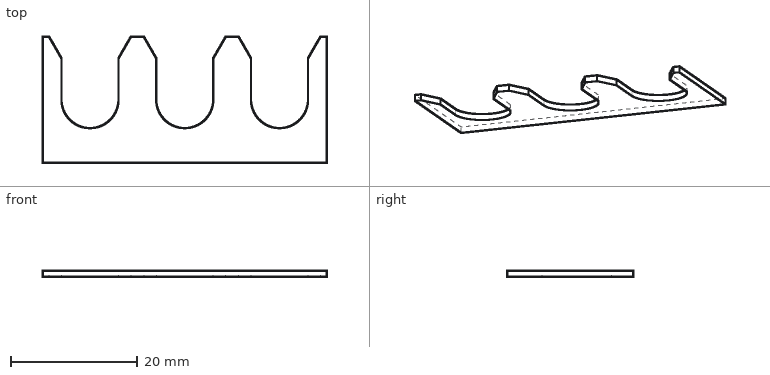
import cadquery as cq
import math

length = 45.0
depth = 20.0
thickness = 1.0
slot_count = 3
slot_width = 9.0
mouth_flare = 2.0
flare_angle = 60.0

slot_pitch = length / slot_count
slot_radius = slot_width / 2
slot_center_y = depth / 2
flare_start_y = depth - mouth_flare * math.tan(math.radians(flare_angle))


def slot_cutter(center_x):
    """Round-bottomed slot with a flared mouth at the +Y edge."""
    left = center_x - slot_radius
    right = center_x + slot_radius
    return (
        cq.Workplane("XY")
        .moveTo(left - mouth_flare, depth)
        .lineTo(left, flare_start_y)
        .lineTo(left, slot_center_y)
        .threePointArc((center_x, slot_center_y - slot_radius), (right, slot_center_y))
        .lineTo(right, flare_start_y)
        .lineTo(right + mouth_flare, depth)
        .close()
        .extrude(thickness)
    )


result = cq.Workplane("XY").box(length, depth, thickness, centered=False)
for index in range(slot_count):
    result = result.cut(slot_cutter((index + 0.5) * slot_pitch))